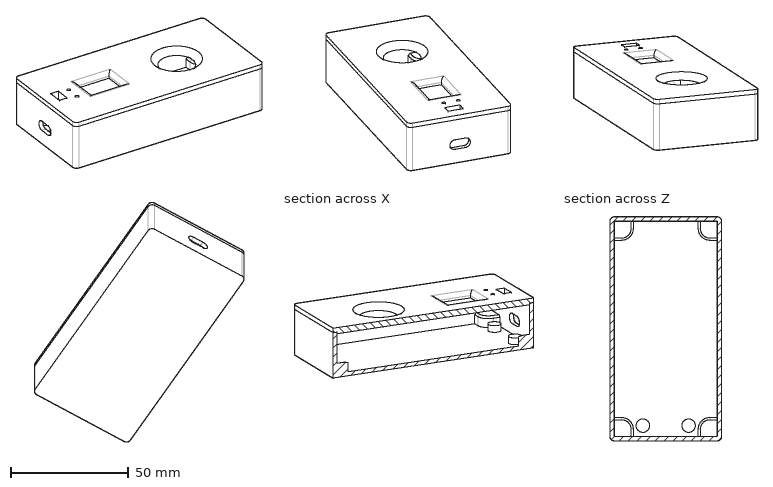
import cadquery as cq

LENGTH = 95.8
WIDTH = 47.8
HEIGHT = 22.5
WALL = 2.0
CORNER_RADIUS = 2.0

FLANGE = 2.0
PLUG = 1.0
LID_THICKNESS = FLANGE + PLUG
LID_BOTTOM = HEIGHT - LID_THICKNESS
BOX_HEIGHT = HEIGHT - FLANGE
CAVITY_WIDTH = WIDTH - 2 * WALL
CAVITY_LENGTH = LENGTH - 2 * WALL

SENSOR_X = 0.2
SENSOR_Y = 18.9
SENSOR_RADIUS = 8.05

WINDOW_WIDTH = 11.5
WINDOW_LENGTH = 16.1
WINDOW_X = 0.1
WINDOW_Y = -19.8
RIM_RADIUS = 1.9

LED_DIAMETER = 1.5
LED_XS = (-2.1, 4.5)
LED_Y = -34.5
BUTTON_WIDTH = 6.9
BUTTON_LENGTH = 3.9
BUTTON_Y = -40.8
SLEEVE_WALL = 1.0
SLEEVE_DROP = 1.0

SLOT_LENGTH = 9.4
SLOT_HEIGHT = 4.5
SLOT_Z = 8.8

BLOCK_REACH = 10.1
BLOCK_RADIUS = 5.0
BLOCK_HEIGHT = 5.0
BLOCK_CHAMFER = 1.0

STANDOFF_DIAMETER = 5.75
STANDOFF_HEIGHT = 3.0
STANDOFF_X = 9.8
STANDOFF_Y = -41.3


def prism(x_size, y_size, z_size, x, y, bottom):
    """Rectangular prism centred on (x, y) and standing on z = bottom."""
    return cq.Workplane("XY", origin=(x, y, bottom)).rect(x_size, y_size).extrude(z_size)


def rounded_plate(thickness, bottom):
    """Full-size plate with rounded vertical edges."""
    return prism(WIDTH, LENGTH, thickness, 0, 0, bottom).edges("|Z").fillet(CORNER_RADIUS)


def corner_block(x_side, y_side):
    """Floor block in one corner, rounded towards the middle and chamfered on top."""
    x = x_side * (WIDTH - BLOCK_REACH) / 2
    y = y_side * (LENGTH - BLOCK_REACH) / 2
    solid = prism(BLOCK_REACH, BLOCK_REACH, BLOCK_HEIGHT, x, y, WALL)
    inner_edge = cq.selectors.NearestToPointSelector((0, 0, WALL + BLOCK_HEIGHT / 2))
    solid = solid.edges("|Z").edges(inner_edge).fillet(BLOCK_RADIUS)
    return solid.faces(">Z").chamfer(BLOCK_CHAMFER)


def standoff(x_side):
    """Round post on the floor."""
    foot = (x_side * STANDOFF_X, STANDOFF_Y, WALL)
    return cq.Workplane("XY", origin=foot).circle(STANDOFF_DIAMETER / 2).extrude(STANDOFF_HEIGHT)


def cavity():
    """Inside space of the box, with the corner blocks and standoffs left out."""
    space = prism(CAVITY_WIDTH, CAVITY_LENGTH, BOX_HEIGHT - WALL, 0, 0, WALL)
    for x_side in (-1, 1):
        for y_side in (-1, 1):
            space = space.cut(corner_block(x_side, y_side))
        space = space.cut(standoff(x_side))
    return space


def connector_slot():
    """Round-ended opening in the -Y wall."""
    wall_face = cq.Workplane("XZ", origin=(0, -LENGTH / 2, SLOT_Z))
    return wall_face.slot2D(SLOT_LENGTH, SLOT_HEIGHT).extrude(-WALL)


def make_box():
    """Open-topped box with its inner supports and connector slot."""
    return rounded_plate(BOX_HEIGHT, 0).cut(cavity()).cut(connector_slot())


def sensor_opening():
    """Cone that widens by the lid thickness towards the top."""
    base = cq.Vector(SENSOR_X, SENSOR_Y, LID_BOTTOM)
    cone = cq.Solid.makeCone(SENSOR_RADIUS, SENSOR_RADIUS + LID_THICKNESS, LID_THICKNESS, base)
    return cq.Workplane(cone)


def cut_window(lid):
    """Cut the rectangular window and round over its upper rim."""
    lid = lid.cut(prism(WINDOW_WIDTH, WINDOW_LENGTH, LID_THICKNESS, WINDOW_X, WINDOW_Y, LID_BOTTOM))
    around_window = cq.selectors.BoxSelector(
        (WINDOW_X - WINDOW_WIDTH, WINDOW_Y - WINDOW_LENGTH, LID_BOTTOM),
        (WINDOW_X + WINDOW_WIDTH, WINDOW_Y + WINDOW_LENGTH, HEIGHT + FLANGE),
    )
    return lid.faces(">Z").edges(around_window).fillet(RIM_RADIUS)


def add_button_sleeve(lid):
    """Guide the button through a rectangular sleeve that hangs below the plug."""
    sleeve_width = BUTTON_WIDTH + 2 * SLEEVE_WALL
    sleeve_length = BUTTON_LENGTH + 2 * SLEEVE_WALL
    bottom = LID_BOTTOM - SLEEVE_DROP
    lid = lid.union(prism(sleeve_width, sleeve_length, SLEEVE_DROP, 0, BUTTON_Y, bottom))
    return lid.cut(prism(BUTTON_WIDTH, BUTTON_LENGTH, HEIGHT - bottom, 0, BUTTON_Y, bottom))


def make_lid():
    """Lid with its plug and all of its openings."""
    lid = rounded_plate(FLANGE, BOX_HEIGHT)
    lid = lid.union(prism(CAVITY_WIDTH, CAVITY_LENGTH, PLUG, 0, 0, LID_BOTTOM))
    lid = cut_window(lid)
    lid = lid.cut(sensor_opening())
    lid = add_button_sleeve(lid)
    for x in LED_XS:
        led = cq.Workplane("XY", origin=(x, LED_Y, LID_BOTTOM))
        lid = lid.cut(led.circle(LED_DIAMETER / 2).extrude(LID_THICKNESS))
    return lid


box = make_box()
lid = make_lid()
result = cq.Compound.makeCompound([box.val(), lid.val()])